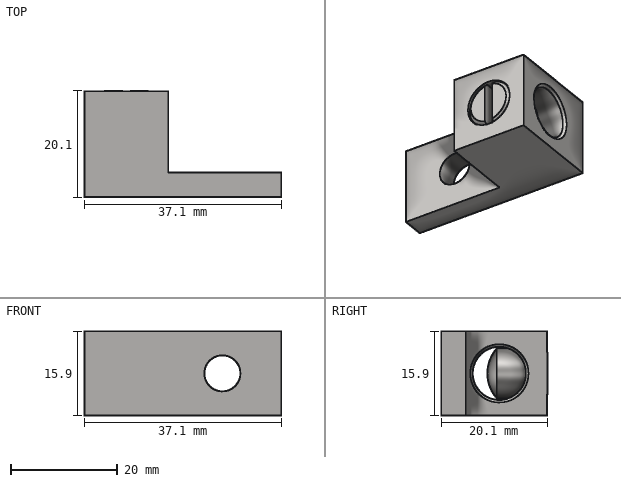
import cadquery as cq

lug_length = 37.1
block_length = 15.8
height = 15.9
block_depth = 20.0
tongue_thickness = 4.7

mount_hole_diameter = 6.75
mount_hole_x = 26.0

bore_diameter = 10.0
bore_y = 11.0
bore_chamfer = 0.5

screw_diameter = 9.5
screw_protrusion = 0.11
screw_top_y = block_depth + screw_protrusion
screw_shoulder_y = 10.55
screw_dome_height = 1.85
screw_top_chamfer = 0.75
slot_width = 1.6
slot_depth = 2.5

screw_x = block_length / 2
mid_z = height / 2


def make_lug():
    outline = (
        cq.Workplane("XY")
        .moveTo(0, 0)
        .lineTo(lug_length, 0)
        .lineTo(lug_length, tongue_thickness)
        .lineTo(block_length, tongue_thickness)
        .lineTo(block_length, block_depth)
        .lineTo(0, block_depth)
        .close()
    )
    lug = outline.extrude(height)

    bore_radius = bore_diameter / 2
    mouth_radius = bore_radius + bore_chamfer
    bore = (
        cq.Workplane("XY", origin=(0, bore_y, mid_z))
        .moveTo(0, 0)
        .lineTo(0, mouth_radius)
        .lineTo(bore_chamfer, bore_radius)
        .lineTo(block_length - bore_chamfer, bore_radius)
        .lineTo(block_length, mouth_radius)
        .lineTo(block_length, 0)
        .close()
        .revolve(360, (0, 0, 0), (1, 0, 0))
    )

    screw_hole = (
        cq.Workplane("XZ", origin=(screw_x, block_depth, mid_z))
        .circle(screw_diameter / 2)
        .extrude(block_depth - bore_y)
    )

    mount_hole = (
        cq.Workplane("XZ", origin=(mount_hole_x, tongue_thickness, mid_z))
        .circle(mount_hole_diameter / 2)
        .extrude(tongue_thickness)
    )
    return lug.cut(bore).cut(screw_hole).cut(mount_hole)


def make_clamp_screw():
    radius = screw_diameter / 2
    tip_y = screw_shoulder_y - screw_dome_height
    dome_radius = (radius**2 + screw_dome_height**2) / (2 * screw_dome_height)
    screw = (
        cq.Workplane("XY", origin=(screw_x, 0, mid_z))
        .moveTo(0, tip_y)
        .radiusArc((radius, screw_shoulder_y), -dome_radius)
        .lineTo(radius, screw_top_y - screw_top_chamfer)
        .lineTo(radius - screw_top_chamfer, screw_top_y)
        .lineTo(0, screw_top_y)
        .close()
        .revolve(360, (0, 0, 0), (0, 1, 0))
    )

    slot = cq.Workplane("XY").box(slot_width, slot_depth, screw_diameter)
    slot = slot.translate((screw_x, screw_top_y - slot_depth / 2, mid_z))
    return screw.cut(slot)


lug = make_lug()
clamp_screw = make_clamp_screw()

result = cq.Compound.makeCompound([lug.val(), clamp_screw.val()])